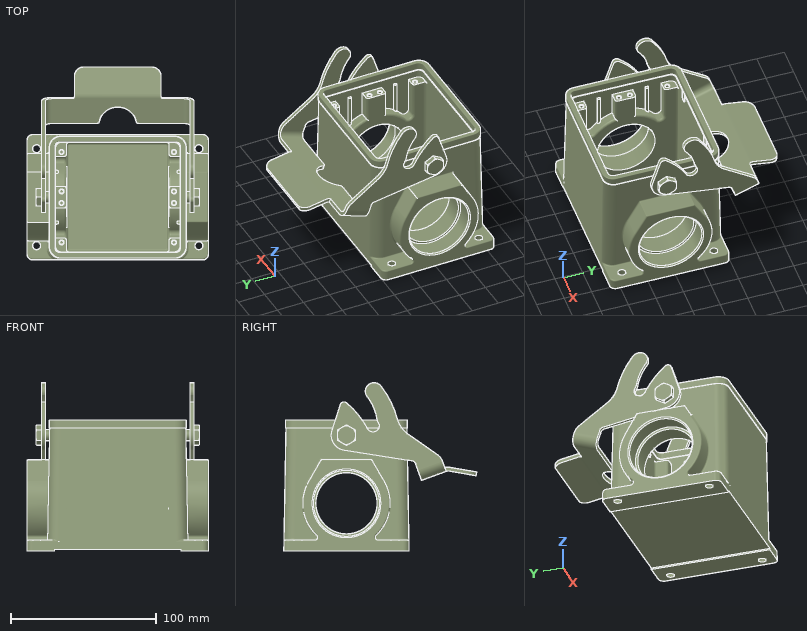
import cadquery as cq
import math

plate_length = 125.0
plate_width = 86.5
plate_height = 7.6
plate_corner_radius = 4.0
plate_edge_radius = 0.9
plate_relief_length = 87.0
plate_relief_depth = 1.0
mount_hole_diameter = 5.3
mount_hole_x = 55.9
mount_hole_y = 33.4

draft = math.tan(math.radians(1.0))
cavity_draft = math.tan(math.radians(0.5))
housing_length = 96.8
housing_width = plate_width
housing_corner_radius = 7.7
rim_bottom = 85.0
rim_top = 90.5
rim_length = 94.5
rim_width = 84.1
rim_edge_radius = 0.5
root_radius = 0.9

floor_level = 5.3
floor_edge_radius = 1.3
ledge_level = 85.0
opening_length = 86.7
opening_width = 76.4
opening_corner_radius = 3.7
cavity_length = 70.8
cavity_width = 75.3
cavity_corner_radius = 1.6
ledge_width = 0.5

post_top = 79.1
pocket_inner_y = 7.5
pocket_outer_y = 28.1
pocket_root_radius = 3.2
post_edge_radius = 1.6
pocket_floor_radius = 29.3
screw_hole_diameter = 2.7
screw_hole_chamfer = 0.4
screw_hole_depth = 10.6
screw_x = 38.7
screw_places_y = (-31.1, -4.0, 4.0, 31.1)
rib_radius = 1.2
rib_x = 42.0
rib_y = 17.4

notch_x = 23.4
notch_width = 5.9
notch_height = 8.0
notch_depth = 0.3

entry_z = 33.0
entry_radius = 30.0
entry_nose_radius = 2.0
entry_bore_diameter = 42.0
entry_counterbore_diameter = 45.5
entry_counterbore_depth = 13.3
entry_mouth_chamfer = 0.9

pivot_z = 80.0
pivot_diameter = 8.0
pivot_head_flats = 12.2
pivot_head_height = 3.9
pivot_head_chamfer = 0.7
lever_outer_x = 52.5
sheet_thickness = 2.8
bend_radius = 7.2
bar_tilt = math.radians(20.0)
bar_width = 18.2
bar_corner = (68.8, 55.0)
bar_notch_radius = 12.8
bar_notch_offset = 0.8
bar_notch_lip_radius = 2.0
tab_width = 59.9
tab_corner_radius = 6.7
tab_tilt = math.radians(9.8)
tab_end_y = 89.8
tab_root_radius = 1.3
fold_reach = 1.7
fold_radius = 6.1

housing_end_x = housing_length / 2
plate_end_x = plate_length / 2
lever_inner_x = lever_outer_x - sheet_thickness


def rounded_block(length, width, bottom, top, radius, length_slope=0.0, width_slope=0.0):
    """Block with rounded corners whose sides lean in by the given slopes."""
    height = top - bottom

    def wedge(plane, size, slope, reach):
        half = size / 2
        top_half = half - height * slope
        return (
            cq.Workplane(plane, origin=(0, 0, bottom))
            .polyline([(-half, 0), (half, 0), (top_half, height), (-top_half, height)])
            .close()
            .extrude(reach, both=True)
        )

    block = wedge("XZ", length, length_slope, width).intersect(
        wedge("YZ", width, width_slope, length)
    )
    return block.edges("not(#Z)").fillet(radius)


def polar(centre, radius, degrees):
    angle = math.radians(degrees)
    return (centre[0] + radius * math.cos(angle), centre[1] + radius * math.sin(angle))


def both_ends(shape):
    return shape.union(shape.mirror("YZ"))


def fillet_in_boxes(shape, lower, upper, radius):
    """Round the edges centred in a box between two corners, and in its mirror image across X."""
    for side in (-1, 1):
        box = cq.selectors.BoxSelector(
            (side * lower[0], *lower[1:]),
            (side * upper[0], *upper[1:]),
        )
        shape = shape.edges(box).fillet(radius)
    return shape


def entry_boss():
    """Half hexagon on a round body, running into the plate through concave noses."""
    corner_y = entry_radius * math.tan(math.radians(30))
    tangent_y, tangent_z = polar((0, entry_z), entry_radius, 30)
    nose_z = plate_height + entry_nose_radius
    nose_reach = entry_radius + entry_nose_radius
    nose_y = math.sqrt(nose_reach**2 - (entry_z - nose_z) ** 2)
    nose_angle = math.degrees(math.atan2(nose_z - entry_z, nose_y))
    join_y, join_z = polar((0, entry_z), entry_radius, nose_angle)
    nose_tip = polar((nose_y, nose_z), entry_nose_radius, 215)
    length = plate_end_x - cavity_length / 2
    return (
        cq.Workplane("YZ")
        .workplane(offset=cavity_length / 2)
        .moveTo(-nose_y, 0)
        .lineTo(-nose_y, plate_height)
        .threePointArc((-nose_tip[0], nose_tip[1]), (-join_y, join_z))
        .threePointArc((-entry_radius, entry_z), (-tangent_y, tangent_z))
        .lineTo(-corner_y, entry_z + entry_radius)
        .lineTo(corner_y, entry_z + entry_radius)
        .lineTo(tangent_y, tangent_z)
        .threePointArc((entry_radius, entry_z), (join_y, join_z))
        .threePointArc(nose_tip, (nose_y, plate_height))
        .lineTo(nose_y, 0)
        .close()
        .extrude(length)
    )


def base():
    plate = rounded_block(
        plate_length, plate_width, 0, plate_height, plate_corner_radius, width_slope=draft
    )
    body = plate.union(both_ends(entry_boss())).clean()
    return fillet_in_boxes(
        body,
        (plate_end_x - 0.1, -plate_width, plate_height - 0.1),
        (plate_end_x + 0.1, plate_width, rim_top),
        plate_edge_radius,
    )


def housing():
    walls = rounded_block(
        housing_length, housing_width, 0, rim_bottom, housing_corner_radius, draft, draft
    )
    rim = rounded_block(rim_length, rim_width, rim_bottom, rim_top, housing_corner_radius)
    return walls.union(rim.faces(">Z").edges().fillet(rim_edge_radius))


def cavity():
    depth = post_top - floor_level
    well = rounded_block(
        cavity_length - 2 * depth * cavity_draft,
        cavity_width - 2 * depth * cavity_draft,
        floor_level,
        post_top,
        cavity_corner_radius,
        -cavity_draft,
        -cavity_draft,
    )
    well = well.faces("<Z").edges().fillet(floor_edge_radius)
    above_posts = rounded_block(
        opening_length - 2 * ledge_width,
        cavity_width,
        post_top,
        ledge_level,
        opening_corner_radius,
        width_slope=-cavity_draft,
    )
    opening = rounded_block(
        opening_length, opening_width, ledge_level, rim_top, opening_corner_radius
    )
    return well.union(above_posts).union(opening).clean()


def pocket():
    """Space between two posts, with a floor that follows the cable entry."""
    root_y = pocket_outer_y - pocket_root_radius
    root_reach = pocket_floor_radius + pocket_root_radius
    root_z = entry_z + math.sqrt(root_reach**2 - root_y**2)
    root_angle = math.degrees(math.atan2(root_z - entry_z, root_y))
    join = polar((0, entry_z), pocket_floor_radius, root_angle)
    inner_angle = math.degrees(math.acos(pocket_inner_y / pocket_floor_radius))
    middle = polar((0, entry_z), pocket_floor_radius, (root_angle + inner_angle) / 2)
    inner = polar((0, entry_z), pocket_floor_radius, inner_angle)
    wall_x = opening_length / 2 - ledge_width
    start_x = cavity_length / 2 - 2.7
    space = (
        cq.Workplane("YZ")
        .workplane(offset=start_x)
        .moveTo(*inner)
        .threePointArc(middle, join)
        .threePointArc(
            polar((root_y, root_z), pocket_root_radius, 285),
            (pocket_outer_y, root_z),
        )
        .lineTo(pocket_outer_y, post_top)
        .lineTo(pocket_inner_y, post_top)
        .close()
        .extrude(wall_x - start_x)
    )
    rib = cq.Workplane("XY").center(rib_x, rib_y).circle(rib_radius).extrude(post_top)
    return space.cut(rib)


def wall_notch():
    straight = notch_height - notch_width / 2
    return (
        cq.Workplane("XZ", origin=(notch_x, cavity_width / 2 + notch_depth, ledge_level))
        .moveTo(-notch_width / 2, 0)
        .lineTo(-notch_width / 2, -straight)
        .threePointArc((0, -notch_height), (notch_width / 2, -straight))
        .lineTo(notch_width / 2, 0)
        .close()
        .extrude(2 * notch_depth)
    )


def entry_bore():
    mouth_radius = entry_counterbore_diameter / 2
    shoulder_x = plate_end_x - entry_counterbore_depth
    return (
        cq.Workplane("XY", origin=(0, 0, entry_z))
        .moveTo(0, 0)
        .lineTo(0, entry_bore_diameter / 2)
        .lineTo(shoulder_x, entry_bore_diameter / 2)
        .lineTo(shoulder_x, mouth_radius)
        .lineTo(plate_end_x - entry_mouth_chamfer, mouth_radius)
        .lineTo(plate_end_x, mouth_radius + entry_mouth_chamfer)
        .lineTo(plate_end_x, 0)
        .close()
        .revolve(360, (0, 0, 0), (1, 0, 0))
    )


along_bar = (math.cos(bar_tilt), math.sin(bar_tilt))
above_bar = (-math.sin(bar_tilt), math.cos(bar_tilt))


def bar_point(along, above):
    """Point in Y and Z, measured from the rear lower corner of the cross bar."""
    return (
        bar_corner[0] + along * along_bar[0] + above * above_bar[0],
        bar_corner[1] + along * along_bar[1] + above * above_bar[1],
    )


def lever_side():
    hook_centre = (19.0, 110.0)
    hook_radius = 6.1
    pivot = (0, pivot_z)
    pivot_lobe_radius = 10.5
    return (
        cq.Workplane("YZ")
        .workplane(offset=lever_inner_x)
        .moveTo(*polar(hook_centre, hook_radius, 32))
        .threePointArc(polar(hook_centre, hook_radius, 90), polar(hook_centre, hook_radius, 205))
        .threePointArc((17.4, 101.5), (21.0, 90.5))
        .lineTo(22.6, 87.1)
        .threePointArc((18.6, 82.2), (14.1, 85.3))
        .threePointArc((6.3, 96.3), (0.1, 102.2))
        .threePointArc((-2.3, 102.8), (-4.4, 100.8))
        .lineTo(*polar(pivot, pivot_lobe_radius, 164))
        .threePointArc(
            polar(pivot, pivot_lobe_radius, 212),
            polar(pivot, pivot_lobe_radius, 261),
        )
        .lineTo(45.5, 62.1)
        .threePointArc((47.0, 61.3), bar_point(-bar_width, 11.3))
        .lineTo(*bar_point(-bar_width, bend_radius))
        .lineTo(*bar_point(0, bend_radius))
        .threePointArc((64.5, 64.9), (62.4, 66.8))
        .lineTo(42.4, 80.7)
        .threePointArc((38.3, 84.6), (35.3, 90.5))
        .threePointArc((31.8, 100.5), polar(hook_centre, hook_radius, 32))
        .close()
        .extrude(sheet_thickness)
    )


def lever_bar():
    """Cross bar with both bends, and a round notch in its front edge."""
    outline = (
        cq.Sketch()
        .push([(0, bend_radius)])
        .rect(2 * lever_outer_x, 2 * bend_radius)
        .reset()
        .vertices("<Y")
        .fillet(bend_radius)
        .reset()
    )
    inside = (
        cq.Sketch()
        .push([(0, sheet_thickness + bend_radius)])
        .rect(2 * lever_inner_x, 2 * bend_radius)
        .reset()
        .vertices("<Y")
        .fillet(bend_radius - sheet_thickness)
        .reset()
    )
    across = cq.Plane(
        origin=(0, *bar_corner), xDir=(1, 0, 0), normal=(0, -along_bar[0], -along_bar[1])
    )
    keep = cq.Workplane(across).center(0, bend_radius / 2).rect(plate_length, bend_radius)
    bar = (
        cq.Workplane(across)
        .placeSketch(outline)
        .extrude(bar_width)
        .cut(cq.Workplane(across).placeSketch(inside).extrude(bar_width))
        .intersect(keep.extrude(bar_width))
    )
    front = cq.Plane(
        origin=(0, *bar_point(-bar_width - bar_notch_offset, 0)),
        xDir=(1, 0, 0),
        normal=(0, *above_bar),
    )
    notch = cq.Workplane(front).circle(bar_notch_radius).extrude(sheet_thickness)
    bar = bar.cut(notch)
    lips = cq.selectors.BoxSelector(
        (-bar_notch_radius - 0.1, bar_point(-bar_width, 0)[0] - 2.7, 0),
        (bar_notch_radius + 0.1, bar_point(-bar_width, 0)[0] + 0.1, 133),
    )
    normal = cq.selectors.ParallelDirSelector(cq.Vector(0, *above_bar))
    return bar.edges(lips).edges(normal).fillet(bar_notch_lip_radius)


def lever_tab():
    """Finger tab folded down from the rear edge of the cross bar."""
    half_fold = (bar_tilt + tab_tilt) / 2
    upper_fold = bar_point(fold_reach, sheet_thickness)
    lower_fold = bar_point(fold_reach - sheet_thickness * math.tan(half_fold), 0)
    tip_upper = (tab_end_y, upper_fold[1] - (tab_end_y - upper_fold[0]) * math.tan(tab_tilt))
    tip_lower = (
        tip_upper[0] - sheet_thickness * math.sin(tab_tilt),
        tip_upper[1] - sheet_thickness * math.cos(tab_tilt),
    )
    sheet = (
        cq.Workplane("YZ")
        .moveTo(*bar_corner)
        .lineTo(*bar_point(0, sheet_thickness))
        .lineTo(*upper_fold)
        .lineTo(*tip_upper)
        .lineTo(*tip_lower)
        .lineTo(*lower_fold)
        .close()
        .extrude(tab_width / 2 + tab_root_radius, both=True)
    )
    sheet = sheet.edges(cq.NearestToPointSelector((0, *upper_fold))).fillet(fold_radius)
    sheet = sheet.edges(cq.NearestToPointSelector((0, *lower_fold))).fillet(
        fold_radius - sheet_thickness
    )
    side_x = tab_width / 2
    root_x = side_x + tab_root_radius
    root_y = bar_point(0, sheet_thickness)[0]
    outline = (
        cq.Workplane("XY")
        .moveTo(-root_x, root_y)
        .radiusArc((-side_x, root_y + tab_root_radius), -tab_root_radius)
        .lineTo(-side_x, tab_end_y - tab_corner_radius)
        .radiusArc((-side_x + tab_corner_radius, tab_end_y), tab_corner_radius)
        .lineTo(side_x - tab_corner_radius, tab_end_y)
        .radiusArc((side_x, tab_end_y - tab_corner_radius), tab_corner_radius)
        .lineTo(side_x, root_y + tab_root_radius)
        .radiusArc((root_x, root_y), -tab_root_radius)
        .close()
        .extrude(rim_top)
    )
    return sheet.intersect(outline)


def pivot_screw():
    shank_start = opening_length / 2
    shank = (
        cq.Workplane("YZ", origin=(shank_start, 0, pivot_z))
        .circle(pivot_diameter / 2)
        .extrude(lever_outer_x - shank_start)
    )
    corner_diameter = pivot_head_flats / math.cos(math.radians(30))
    head = (
        cq.Workplane("YZ", origin=(lever_outer_x, 0, pivot_z))
        .transformed(rotate=(0, 0, 30))
        .polygon(6, corner_diameter)
        .extrude(pivot_head_height)
    )
    turned = (
        cq.Workplane("YZ", origin=(lever_outer_x, 0, pivot_z))
        .circle(corner_diameter / 2)
        .extrude(pivot_head_height)
        .faces(">X")
        .chamfer(pivot_head_chamfer)
    )
    return shank.union(head.intersect(turned))


pockets = pocket().union(pocket().mirror("XZ"))
mount_holes = (
    cq.Workplane("XY")
    .rarray(2 * mount_hole_x, 2 * mount_hole_y, 2, 2)
    .circle(mount_hole_diameter / 2)
    .extrude(plate_height)
)
screw_places = [(side * screw_x, y) for side in (-1, 1) for y in screw_places_y]
screw_hole = (
    cq.Workplane("XY", origin=(0, 0, post_top - screw_hole_depth))
    .circle(screw_hole_diameter / 2)
    .extrude(screw_hole_depth)
    .union(
        cq.Workplane("XY", origin=(0, 0, post_top))
        .circle(screw_hole_diameter / 2 + screw_hole_chamfer)
        .extrude(-screw_hole_chamfer, taper=45)
    )
)
screw_holes = cq.Workplane("XY").pushPoints(screw_places).eachpoint(
    lambda place: screw_hole.val().moved(place), combine=False
)
relief = cq.Workplane("XY").box(
    plate_relief_length, plate_width, 2 * plate_relief_depth
)

shell = fillet_in_boxes(
    base().union(housing()),
    (housing_end_x - 2.7, -entry_radius - 0.1, plate_height - 0.1),
    (housing_end_x + 0.3, entry_radius + 0.1, entry_z + entry_radius + 0.1),
    root_radius,
)
shell = shell.cut(cavity()).cut(both_ends(pockets))
shell = fillet_in_boxes(
    shell,
    (cavity_length / 2 - 0.8, -pocket_outer_y - 0.1, entry_z),
    (cavity_length / 2 + 0.1, pocket_outer_y + 0.1, post_top - 0.1),
    post_edge_radius,
)
shell = (
    shell.cut(both_ends(wall_notch()))
    .cut(both_ends(entry_bore()))
    .cut(mount_holes)
    .cut(screw_holes)
    .cut(relief)
)
shell = shell.edges(
    cq.selectors.BoxSelector(
        (-opening_length / 2 - 0.1, -opening_width / 2 - 0.1, rim_top - 0.1),
        (opening_length / 2 + 0.1, opening_width / 2 + 0.1, rim_top + 0.1),
    )
).fillet(rim_edge_radius)

result = (
    shell.union(both_ends(lever_side()))
    .union(lever_bar())
    .union(lever_tab())
    .union(both_ends(pivot_screw()))
)